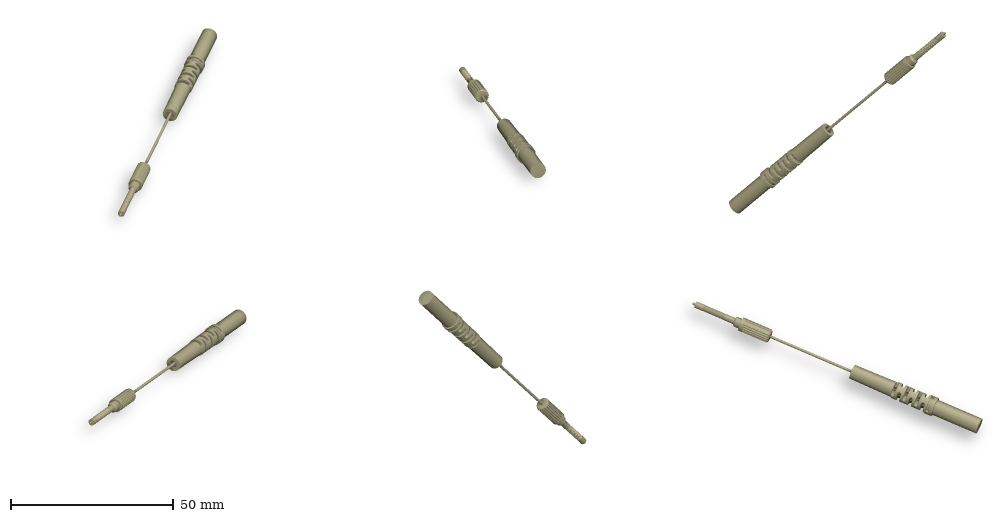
import cadquery as cq

TOTAL_LENGTH = 97.0

SLEEVE_RADIUS = 4.9 / 2

HANDLE_FRONT_Y = 54.0
RELIEF_FRONT_Y = 68.4
FLANGE_FRONT_Y = 79.5
SLEEVE_FRONT_Y = 79.6
FLANGE_BACK_Y = 82.1
FLANGE_RADIUS = 6.0 / 2
RELIEF_RADIUS = 5.4 / 2
NOSE_BACK_RADIUS = 4.9 / 2
NOSE_FRONT_RADIUS = 4.6 / 2
BORE_RADIUS = 2.4 / 2

SLOT_WIDTH = 1.2
SLOT_FLOOR = 1.0
SLOT_PITCH = 4.0
LAST_SLOT_Y = 80.5
VERTICAL_SLOT_COUNT = 4
SIDE_SLOT_COUNT = VERTICAL_SLOT_COUNT - 1

WIRE_RADIUS = 0.9 / 2

COLLAR_FRONT_Y = 14.2
KNOB_FRONT_Y = 16.4
FLUTE_FRONT_Y = 17.6
KNOB_BACK_Y = 26.3
KNOB_RADIUS = 4.4 / 2
KNOB_CHAMFER = 0.4
COLLAR_RADIUS = 3.2 / 2
COLLAR_CHAMFER = 0.5
FLUTE_COUNT = 17
FLUTE_ANGLE = 360 / (FLUTE_COUNT + 1)
FLUTE_RADIUS = 0.24

BARREL_FRONT_Y = 1.1
BARREL_RADIUS = 2.0 / 2
TIP_RADIUS = 0.8 / 2
TIP_POINT_LENGTH = 0.3
GROOVE_BAND_FRONT_Y = 3.7
GROOVE_BAND_BACK_Y = 11.1
GROOVE_COUNT = 25
GROOVE_DEPTH = 0.1


def revolve_about_y(profile):
    """Turn a closed (radius, Y) outline about the Y axis."""
    return cq.Workplane("XY").polyline(profile).close().revolve(360, (0, 0, 0), (0, 1, 0))


def rod(radius, front_y, back_y):
    """Plain cylinder along Y between two stations."""
    return revolve_about_y([(0, front_y), (radius, front_y), (radius, back_y), (0, back_y)])


def make_slot_cutter(center_y):
    """Upward slot through X, with a round floor."""
    half_width = SLOT_WIDTH / 2
    shoulder_z = SLOT_FLOOR + half_width
    top_z = 2 * FLANGE_RADIUS
    return (
        cq.Workplane("YZ")
        .moveTo(center_y - half_width, top_z)
        .lineTo(center_y - half_width, shoulder_z)
        .threePointArc((center_y, SLOT_FLOOR), (center_y + half_width, shoulder_z))
        .lineTo(center_y + half_width, top_z)
        .close()
        .extrude(2 * FLANGE_RADIUS, both=True)
    )


def cut_slot_pairs(body, last_y, count, first_angle):
    """Cut opposite slots at evenly spaced stations, turned about Y by first_angle."""
    for index in range(count):
        cutter = make_slot_cutter(last_y - index * SLOT_PITCH)
        for angle in (first_angle, first_angle + 180):
            body = body.cut(cutter.rotate((0, 0, 0), (0, 1, 0), angle))
    return body


def make_handle():
    body = revolve_about_y([
        (0, HANDLE_FRONT_Y),
        (NOSE_FRONT_RADIUS, HANDLE_FRONT_Y),
        (NOSE_BACK_RADIUS, RELIEF_FRONT_Y),
        (RELIEF_RADIUS, RELIEF_FRONT_Y),
        (RELIEF_RADIUS, FLANGE_FRONT_Y),
        (FLANGE_RADIUS, FLANGE_FRONT_Y),
        (FLANGE_RADIUS, FLANGE_BACK_Y),
        (0, FLANGE_BACK_Y),
    ])
    body = body.cut(rod(BORE_RADIUS, HANDLE_FRONT_Y, SLEEVE_FRONT_Y))
    body = body.cut(rod(SLEEVE_RADIUS, SLEEVE_FRONT_Y, FLANGE_BACK_Y))
    body = cut_slot_pairs(body, LAST_SLOT_Y, VERTICAL_SLOT_COUNT, 0)
    return cut_slot_pairs(body, LAST_SLOT_Y - SLOT_PITCH / 2, SIDE_SLOT_COUNT, 90)


def make_sleeve():
    return rod(SLEEVE_RADIUS, SLEEVE_FRONT_Y, TOTAL_LENGTH)


def make_wire():
    """Runs from the back face of the knob, through the handle bore, to the sleeve."""
    return rod(WIRE_RADIUS, KNOB_BACK_Y, SLEEVE_FRONT_Y)


def make_flute_cutters():
    """Round-bottomed flutes along the knob, open at the back, with the one at the top left out."""
    return (
        cq.Workplane("XZ", origin=(0, FLUTE_FRONT_Y, 0))
        .polarArray(KNOB_RADIUS, 90 + FLUTE_ANGLE, 360 - 2 * FLUTE_ANGLE, FLUTE_COUNT)
        .circle(FLUTE_RADIUS)
        .extrude(FLUTE_FRONT_Y - KNOB_BACK_Y)
    )


def make_barrel_outline():
    """Outline from the point of the tip back to the collar, with V-shaped ring grooves."""
    outline = [
        (0, 0),
        (TIP_RADIUS, TIP_POINT_LENGTH),
        (TIP_RADIUS, BARREL_FRONT_Y),
        (BARREL_RADIUS, BARREL_FRONT_Y),
    ]
    groove_pitch = (GROOVE_BAND_BACK_Y - GROOVE_BAND_FRONT_Y) / GROOVE_COUNT
    for index in range(GROOVE_COUNT):
        crest_y = GROOVE_BAND_FRONT_Y + index * groove_pitch
        outline.append((BARREL_RADIUS, crest_y))
        outline.append((BARREL_RADIUS - GROOVE_DEPTH, crest_y + groove_pitch / 2))
    outline.append((BARREL_RADIUS, GROOVE_BAND_BACK_Y))
    outline.append((BARREL_RADIUS, COLLAR_FRONT_Y))
    return outline


def make_knob_outline():
    """Outline from the front of the collar to the back face of the knob."""
    return [
        (COLLAR_RADIUS - COLLAR_CHAMFER, COLLAR_FRONT_Y),
        (COLLAR_RADIUS, COLLAR_FRONT_Y + COLLAR_CHAMFER),
        (COLLAR_RADIUS, KNOB_FRONT_Y),
        (KNOB_RADIUS, KNOB_FRONT_Y),
        (KNOB_RADIUS, KNOB_BACK_Y - KNOB_CHAMFER),
        (KNOB_RADIUS - KNOB_CHAMFER, KNOB_BACK_Y),
        (0, KNOB_BACK_Y),
    ]


def make_probe():
    body = revolve_about_y(make_barrel_outline() + make_knob_outline())
    return body.cut(make_flute_cutters())


sleeve = make_sleeve()
handle = make_handle()
wire = make_wire()
probe = make_probe()

result = cq.Compound.makeCompound([sleeve.val(), handle.val(), wire.val(), probe.val()])